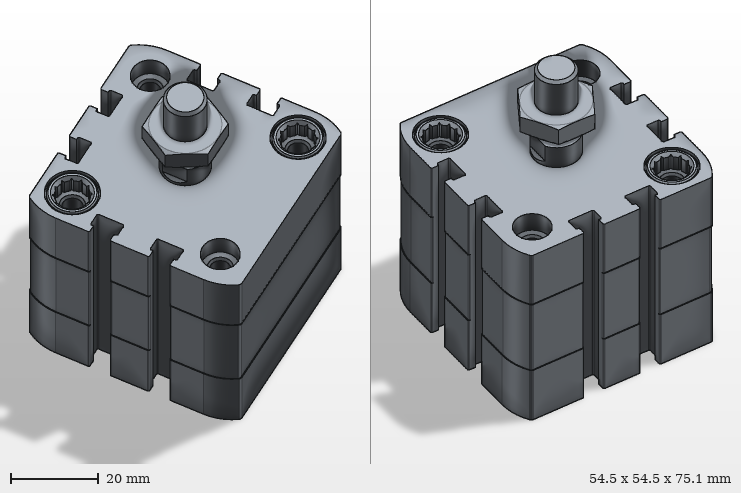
import cadquery as cq
import math


OVERALL_HEIGHT = 75.1

HOUSING_WIDTH = 54.5
CAP_HEIGHT = 15.0
BARREL_HEIGHT = 20.0
HOUSING_HEIGHT = 2 * CAP_HEIGHT + BARREL_HEIGHT
BARREL_INSET = 0.2
BOLT_OFFSET = 19.0
CORNER_ARC_RADIUS = 14.0
CORNER_EDGE_FILLET = 1.0

SLOT_OFFSET = 7.65
SLOT_MOUTH_WIDTH = 5.25
SLOT_INNER_WIDTH = 6.9
SLOT_LIP_DEPTH = 2.0
SLOT_DEPTH = 5.5
SLOT_MOUTH_FILLET = 0.4
SLOT_POCKET_FILLET = 0.4

THROUGH_DIAMETER = 4.9
THREAD_DIAMETER = 6.0
COUNTERBORE_DIAMETER = 9.0
COUNTERBORE_DEPTH = 5.0

SCREW_SEAT_DIAMETER = 12.8
SCREW_SEAT_DEPTH = 1.0
SCREW_HEAD_DIAMETER = 11.9
SCREW_HEAD_CHAMFER = 0.4
SOCKET_MOUTH_DIAMETER = 10.0
SOCKET_TIP_DIAMETER = 8.2
SOCKET_POINT_DIAMETER = 9.0
SOCKET_FLOOR_DEPTH = 4.65
SOCKET_SQUARES = 3

ROD_LENGTH = OVERALL_HEIGHT - HOUSING_HEIGHT
COLLAR_DIAMETER = 12.0
COLLAR_HEIGHT = 6.0
FLATS_WIDTH = 10.2
FLATS_BOTTOM = 1.5
FLATS_RAMP_ANGLE = 40.0
STUD_DIAMETER = 10.0
STUD_CHAMFER = 0.75
NECK_DIAMETERS = (8.6, 8.55, 8.5)
NECK_TOPS = (6.6, 7.3, 7.5)
FLARE_TOP = 10.1
FLARE_SAG = 0.11

NUT_WIDTH = 17.0
NUT_HEIGHT = 4.95
NUT_BOTTOM = FLARE_TOP
NUT_FACE_DIAMETER = 16.7
NUT_CHAMFER_HEIGHT = 0.3


def housing_blank(bottom, height, half_width):
    """Prism with flat sides along X and rounded corners that start at the bolt axes."""
    run = half_width - BOLT_OFFSET
    drop = CORNER_ARC_RADIUS - math.sqrt(CORNER_ARC_RADIUS**2 - run**2)
    corner_y = half_width - drop
    outline = (
        cq.Workplane("XY", origin=(0, 0, bottom))
        .moveTo(-BOLT_OFFSET, half_width)
        .lineTo(BOLT_OFFSET, half_width)
        .radiusArc((half_width, corner_y), CORNER_ARC_RADIUS)
        .lineTo(half_width, -corner_y)
        .radiusArc((BOLT_OFFSET, -half_width), CORNER_ARC_RADIUS)
        .lineTo(-BOLT_OFFSET, -half_width)
        .radiusArc((-half_width, -corner_y), CORNER_ARC_RADIUS)
        .lineTo(-half_width, corner_y)
        .radiusArc((-BOLT_OFFSET, half_width), CORNER_ARC_RADIUS)
        .close()
    )
    blank = outline.extrude(height)
    return blank.edges("|Z and (<X or >X)").fillet(CORNER_EDGE_FILLET)


def slot_cutter():
    """Pair of T-slots opening on the -Y side, over the full housing height."""
    side = -HOUSING_WIDTH / 2
    cutter = cq.Workplane("XY")
    for x in (-SLOT_OFFSET, SLOT_OFFSET):
        mouth = (
            cq.Workplane("XY")
            .center(x, side + SLOT_DEPTH / 2)
            .rect(SLOT_MOUTH_WIDTH, SLOT_DEPTH)
            .extrude(HOUSING_HEIGHT)
        )
        pocket = (
            cq.Workplane("XY")
            .center(x, side + (SLOT_LIP_DEPTH + SLOT_DEPTH) / 2)
            .rect(SLOT_INNER_WIDTH, SLOT_DEPTH - SLOT_LIP_DEPTH)
            .extrude(HOUSING_HEIGHT)
            .edges("|Z")
            .fillet(SLOT_POCKET_FILLET)
        )
        cutter = cutter.add(mouth.union(pocket))
    return cutter.combine()


def mouth_edges(section, half_width, turn):
    """Outer vertical edges of the slot mouths on one side of the section."""
    margin = 0.1
    angle = math.radians(turn)
    found = cq.Workplane("XY")
    for slot in (-SLOT_OFFSET, SLOT_OFFSET):
        for edge in (-SLOT_MOUTH_WIDTH / 2, SLOT_MOUTH_WIDTH / 2):
            along = slot + edge
            x = along * math.cos(angle) + half_width * math.sin(angle)
            y = along * math.sin(angle) - half_width * math.cos(angle)
            box = cq.selectors.BoxSelector(
                (x - margin, y - margin, 0),
                (x + margin, y + margin, HOUSING_HEIGHT),
            )
            found = found.add(section.edges("|Z").edges(box))
    return found.vals()


def slotted_section(bottom, height, half_width):
    """One height zone of the housing, with T-slots on the -Y, -X and +Y sides."""
    section = housing_blank(bottom, height, half_width)
    for turn in (0, -90, 180):
        section = section.cut(slot_cutter().rotate((0, 0, 0), (0, 0, 1), turn))
        edges = mouth_edges(section, half_width, turn)
        section = section.newObject(edges).fillet(SLOT_MOUTH_FILLET)
    return section


def bolt_hole(floor_z):
    """Through hole whose top is countersunk to the thread size at floor_z."""
    hole_radius = THROUGH_DIAMETER / 2
    thread_radius = THREAD_DIAMETER / 2
    return (
        cq.Workplane("XZ")
        .polyline([
            (0, 0),
            (hole_radius, 0),
            (hole_radius, floor_z - (thread_radius - hole_radius)),
            (thread_radius, floor_z),
            (0, floor_z),
        ])
        .close()
        .revolve(360, (0, 0), (0, 1))
    )


def plain_hole():
    """Bolt hole with a cylindrical counterbore."""
    floor_z = HOUSING_HEIGHT - COUNTERBORE_DEPTH
    counterbore = (
        cq.Workplane("XY", origin=(0, 0, floor_z))
        .circle(COUNTERBORE_DIAMETER / 2)
        .extrude(COUNTERBORE_DEPTH)
    )
    return bolt_hole(floor_z).union(counterbore)


def screw_recess():
    """Annular groove around a screw head, with its twelve-point socket and bolt hole."""
    floor_z = HOUSING_HEIGHT - SOCKET_FLOOR_DEPTH
    seat_z = HOUSING_HEIGHT - SCREW_SEAT_DEPTH
    seat = (
        cq.Workplane("XY", origin=(0, 0, seat_z))
        .circle(SCREW_SEAT_DIAMETER / 2)
        .extrude(SCREW_SEAT_DEPTH)
    )
    head = (
        cq.Workplane("XY", origin=(0, 0, seat_z))
        .circle(SCREW_HEAD_DIAMETER / 2)
        .extrude(SCREW_SEAT_DEPTH)
        .faces(">Z")
        .chamfer(SCREW_HEAD_CHAMFER)
    )

    socket = (
        cq.Workplane("XY", origin=(0, 0, floor_z))
        .circle(SOCKET_TIP_DIAMETER / 2)
        .extrude(SOCKET_FLOOR_DEPTH)
    )
    square = (
        cq.Workplane("XY", origin=(0, 0, floor_z))
        .polygon(4, SOCKET_POINT_DIAMETER)
        .extrude(SOCKET_FLOOR_DEPTH)
    )
    for index in range(SOCKET_SQUARES):
        turn = index * 90 / SOCKET_SQUARES
        socket = socket.union(square.rotate((0, 0, 0), (0, 0, 1), turn))

    mouth_radius = SOCKET_MOUTH_DIAMETER / 2
    mouth = (
        cq.Workplane("XZ")
        .polyline([
            (0, HOUSING_HEIGHT),
            (mouth_radius, HOUSING_HEIGHT),
            (0, HOUSING_HEIGHT - mouth_radius),
        ])
        .close()
        .revolve(360, (0, 0), (0, 1))
    )
    return seat.cut(head).union(socket).union(mouth).union(bolt_hole(floor_z))


def make_housing():
    cap_half = HOUSING_WIDTH / 2
    body = slotted_section(0, CAP_HEIGHT, cap_half)
    body = body.union(slotted_section(CAP_HEIGHT, BARREL_HEIGHT, cap_half - BARREL_INSET))
    body = body.union(slotted_section(CAP_HEIGHT + BARREL_HEIGHT, CAP_HEIGHT, cap_half))
    for side in (-1, 1):
        x = side * BOLT_OFFSET
        body = body.cut(plain_hole().translate((x, -x, 0)))
        body = body.cut(screw_recess().translate((x, x, 0)))
    return body


def make_rod():
    """Collar with two wrench flats, relief neck, flare and chamfered stud."""
    collar_radius = COLLAR_DIAMETER / 2
    stud_radius = STUD_DIAMETER / 2
    profile = (
        cq.Workplane("XZ")
        .lineTo(collar_radius, 0)
        .lineTo(collar_radius, COLLAR_HEIGHT)
    )
    ring_bottom = COLLAR_HEIGHT
    for diameter, ring_top in zip(NECK_DIAMETERS, NECK_TOPS):
        profile = profile.lineTo(diameter / 2, ring_bottom).lineTo(diameter / 2, ring_top)
        ring_bottom = ring_top
    rod = (
        profile.sagittaArc((stud_radius, FLARE_TOP), -FLARE_SAG)
        .lineTo(stud_radius, ROD_LENGTH - STUD_CHAMFER)
        .lineTo(stud_radius - STUD_CHAMFER, ROD_LENGTH)
        .lineTo(0, ROD_LENGTH)
        .close()
        .revolve(360, (0, 0), (0, 1))
    )

    flat_y = FLATS_WIDTH / 2
    ramp_drop = (collar_radius - flat_y) * math.tan(math.radians(FLATS_RAMP_ANGLE))
    flat_cutter = (
        cq.Workplane("YZ")
        .polyline([
            (flat_y, COLLAR_HEIGHT),
            (flat_y, FLATS_BOTTOM),
            (collar_radius, FLATS_BOTTOM - ramp_drop),
            (collar_radius, COLLAR_HEIGHT),
        ])
        .close()
        .extrude(collar_radius, both=True)
    )
    rod = rod.cut(flat_cutter).cut(flat_cutter.mirror("XZ"))
    return rod.translate((0, 0, HOUSING_HEIGHT))


def make_nut(rod):
    """Hexagon nut with flats facing +X and -X, bored to fit the rod."""
    corner_diameter = NUT_WIDTH / math.cos(math.radians(30))
    corner_radius = corner_diameter / 2
    face_radius = NUT_FACE_DIAMETER / 2
    blank = (
        cq.Workplane("XY")
        .polygon(6, corner_diameter)
        .extrude(NUT_HEIGHT)
        .rotate((0, 0, 0), (0, 0, 1), 30)
    )
    chamfered_disc = (
        cq.Workplane("XZ")
        .polyline([
            (0, 0),
            (face_radius, 0),
            (corner_radius, NUT_CHAMFER_HEIGHT),
            (corner_radius, NUT_HEIGHT - NUT_CHAMFER_HEIGHT),
            (face_radius, NUT_HEIGHT),
            (0, NUT_HEIGHT),
        ])
        .close()
        .revolve(360, (0, 0), (0, 1))
    )
    nut = blank.intersect(chamfered_disc)
    nut = nut.translate((0, 0, HOUSING_HEIGHT + NUT_BOTTOM))
    return nut.cut(rod)


housing = make_housing()
rod = make_rod()
nut = make_nut(rod)

result = cq.Compound.makeCompound([housing.val(), rod.val(), nut.val()])